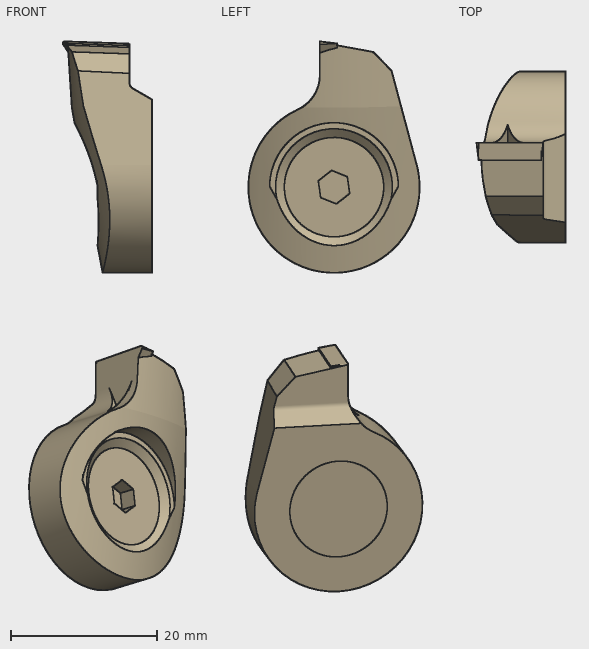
import cadquery as cq
import math

disc_radius = 11.75
disc_center_z = disc_radius
stock_depth = 14.27

rake_y = 1.97
throat_radius = 5.08
flank_tangent_z = 14.75
flank_corner = (-7.87, 27.75)
crown_corner = (-5.4, 30.3)
crown_start = (-0.4, 31.18)
crown_tilt = 2.0
blank_top = 34.9

barrel_radius = 26.65
barrel_length = 95.15
lower_barrel_point = (-6.8, 0.0)
lower_barrel_tilt = 10.6
upper_barrel_point = (-11.05, 22.9)
upper_barrel_tilt = 3.6

tip_front_x = -12.2
tip_back_x = -3.08
tip_top_z = 31.72
tip_end_y = -0.4
tip_relief = 7.0
tip_corner_radius = 0.3
tip_nose_overhang = 0.25
tip_root_z = 27.9
flare_angle = 30.0
collar_step = 0.2
collar_length = 4.45

relief_depth = 3.08
relief_foot_z = 23.73
relief_angle = 30.0
relief_fillet = 0.8

groove_x = -7.93
groove_floor_z = 22.65
groove_top_z = 27.0
groove_half_slope = 0.5
groove_length = 6.35

ledge_radius = 8.82
ledge_x = -7.5
countersink_radius = 8.0
screw_radius = 13.6 / 2
screw_face_x = -6.6
hex_across_corners = 4.63
hex_turn = -8.0
hex_depth = 2.55


def make_blank():
    """Disc with its neck, extruded from the back toward -X."""
    flank_rise = flank_tangent_z - disc_center_z
    flank_tangent = (-math.sqrt(disc_radius**2 - flank_rise**2), flank_tangent_z)
    throat_y = rake_y + throat_radius
    center_gap = disc_radius + throat_radius
    throat_z = disc_center_z + math.sqrt(center_gap**2 - throat_y**2)
    reach = disc_radius / center_gap
    throat_foot = (throat_y * reach, disc_center_z + (throat_z - disc_center_z) * reach)
    foot_angle = math.atan2(throat_foot[1] - throat_z, throat_foot[0] - throat_y) % (2 * math.pi)
    middle_angle = (foot_angle + math.pi) / 2
    throat_middle = (
        throat_y + throat_radius * math.cos(middle_angle),
        throat_z + throat_radius * math.sin(middle_angle),
    )
    flank_slope = (flank_corner[0] - flank_tangent[0]) / (flank_corner[1] - flank_tangent[1])
    flank_top_y = flank_corner[0] + flank_slope * (blank_top - flank_corner[1])
    return (
        cq.Workplane("YZ")
        .moveTo(rake_y, blank_top)
        .lineTo(rake_y, throat_z)
        .threePointArc(throat_middle, throat_foot)
        .threePointArc((0, 0), flank_tangent)
        .lineTo(flank_top_y, blank_top)
        .close()
        .extrude(-stock_depth)
    )


def make_crown():
    """Region below the sloping neck top and its corner chamfer."""
    top_slope = (crown_start[1] - crown_corner[1]) / (crown_start[0] - crown_corner[0])
    chamfer_slope = (crown_corner[1] - flank_corner[1]) / (crown_corner[0] - flank_corner[0])
    side = 2 * disc_radius
    below = -disc_radius
    outline = [
        (-side, below),
        (-side, crown_corner[1] + chamfer_slope * (-side - crown_corner[0])),
        crown_corner,
        (side, crown_start[1] + top_slope * (side - crown_start[0])),
        (side, below),
    ]
    pivot = (tip_front_x, 0, tip_top_z)
    pivot_end = (tip_front_x, 1, tip_top_z)
    return (
        cq.Workplane("YZ", origin=(stock_depth, 0, 0))
        .polyline(outline)
        .close()
        .extrude(-3 * stock_depth)
        .rotate(pivot, pivot_end, crown_tilt)
    )


def make_barrel(point, tilt):
    """Cylinder whose front line passes through an (x, z) point and leans toward -X."""
    x, z = point
    return (
        cq.Workplane("XY", origin=(x + barrel_radius, 0, z - barrel_length / 2))
        .circle(barrel_radius)
        .extrude(barrel_length)
        .rotate((x, 0, z), (x, 1, z), -tilt)
    )


def make_tip_prism(inset, length):
    """Tip outline on the rake side, tapering toward -Y."""
    top_fall = math.tan(math.radians(crown_tilt))
    back_top_z = tip_top_z - (tip_back_x - tip_front_x) * top_fall
    flare_run = (tip_top_z - tip_root_z) * math.tan(math.radians(flare_angle))
    outline = [
        (tip_front_x - tip_nose_overhang, tip_top_z),
        (tip_back_x, back_top_z),
        (tip_back_x, tip_root_z),
        (tip_front_x + flare_run, tip_root_z),
    ]
    corners = [cq.Vector(x, z) for x, z in outline]
    flat = cq.Face.makeFromWires(cq.Wire.makePolygon(corners, close=True))
    rounded = flat.fillet2D(tip_corner_radius, flat.Vertices())
    edge = rounded.outerWire()
    if inset:
        edge = edge.offset2D(-inset)[0]
    plane = cq.Plane.XZ(origin=(0, rake_y, 0))
    placed = edge.moved(cq.Location(plane))
    return cq.Workplane(plane).add(placed).toPending().extrude(length, taper=tip_relief)


def make_back_relief():
    """Space behind the neck, with a rounded inside corner."""
    slope = math.tan(math.radians(relief_angle))
    corner_z = relief_foot_z + relief_depth * slope
    outline = [
        (-relief_depth, blank_top),
        (-relief_depth, corner_z),
        (relief_depth, relief_foot_z - relief_depth * slope),
        (relief_depth, blank_top),
    ]
    return (
        cq.Workplane("XZ", origin=(0, 2 * disc_radius, 0))
        .polyline(outline)
        .close()
        .extrude(4 * disc_radius)
        .edges(cq.NearestToPointSelector((-relief_depth, 0, corner_z)))
        .fillet(relief_fillet)
    )


def make_throat_groove():
    """V-shaped channel sunk into the concave throat, ending at the rake side."""
    half_width = (groove_top_z - groove_floor_z) * groove_half_slope
    outline = [
        (groove_x, groove_floor_z),
        (groove_x + half_width, groove_top_z),
        (groove_x - half_width, groove_top_z),
    ]
    return cq.Workplane("XZ", origin=(0, rake_y, 0)).polyline(outline).close().extrude(-groove_length)


def make_recess():
    """Screw bore, countersink and flat ledge as one turned cutter about the X axis."""
    return (
        cq.Workplane("XY", origin=(0, 0, disc_center_z))
        .polyline([
            (0, 0),
            (0, screw_radius),
            (screw_face_x, screw_radius),
            (ledge_x, countersink_radius),
            (ledge_x, ledge_radius),
            (-stock_depth, ledge_radius),
            (-stock_depth, 0),
        ])
        .close()
        .revolve(360, (0, 0, 0), (1, 0, 0))
    )


def make_holder():
    body = make_blank().intersect(make_barrel(lower_barrel_point, lower_barrel_tilt))
    body = body.intersect(make_barrel(upper_barrel_point, upper_barrel_tilt))
    body = body.union(make_tip_prism(collar_step, collar_length))
    body = body.intersect(make_crown())
    body = body.union(make_tip_prism(0, rake_y - tip_end_y))
    return body.cut(make_back_relief()).cut(make_throat_groove()).cut(make_recess())


def make_screw():
    """Plain round screw filling the bore, with a hexagonal socket."""
    screw = (
        cq.Workplane("YZ", origin=(0, 0, disc_center_z))
        .circle(screw_radius)
        .extrude(screw_face_x)
    )
    socket = (
        cq.Workplane("YZ", origin=(screw_face_x, 0, disc_center_z))
        .transformed(rotate=(0, 0, 90 + hex_turn))
        .polygon(6, hex_across_corners)
        .extrude(hex_depth)
    )
    return screw.cut(socket)


holder = make_holder()
screw = make_screw()
result = cq.Compound.makeCompound([holder.val(), screw.val()])